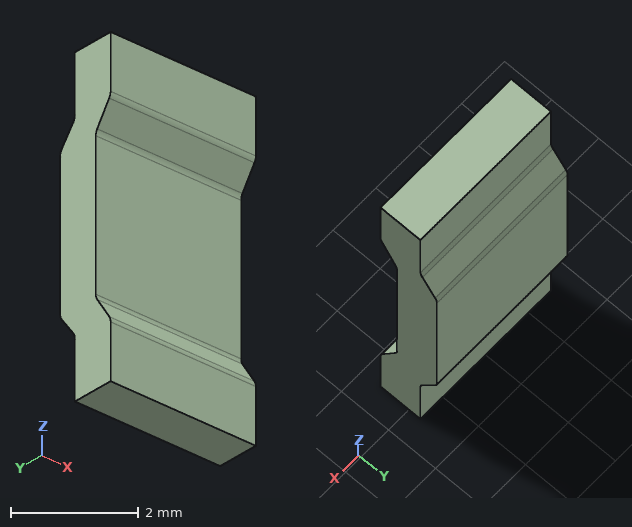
import cadquery as cq

width = 3.05
height = 6.35
thickness = 0.85
joggle = 0.35
bend_radius = 0.2

front_slope_start = 1.14
back_slope_start = 1.205
slope_end = 1.675

pad_front_y = -(thickness + joggle) / 2
pad_back_y = pad_front_y + thickness
middle_front_y = pad_front_y + joggle
middle_back_y = pad_back_y + joggle
end_z = height / 2


def face_line(pad_y, middle_y, slope_start):
    """Bottom-to-top (Y, Z) corners of one stepped face, mirrored about Z = 0."""
    pad_corner_z = end_z - slope_start
    middle_corner_z = end_z - slope_end
    return [
        (pad_y, -end_z),
        (pad_y, -pad_corner_z),
        (middle_y, -middle_corner_z),
        (middle_y, middle_corner_z),
        (pad_y, pad_corner_z),
        (pad_y, end_z),
    ]


def joggled_strip():
    """Constant section along X: end pads joined by slopes to the set-back middle."""
    front = face_line(pad_front_y, middle_front_y, front_slope_start)
    back = face_line(pad_back_y, middle_back_y, back_slope_start)
    outline = front + back[::-1]
    return cq.Workplane("YZ").polyline(outline).close().extrude(width / 2, both=True)


def round_bends(strip):
    """Round the eight bend edges, leaving the square ends of the strip sharp."""
    bend_zone = cq.selectors.BoxSelector(
        (-width, -width, -end_z + front_slope_start / 2),
        (width, width, end_z - front_slope_start / 2),
    )
    return strip.edges("|X").edges(bend_zone).fillet(bend_radius)


result = round_bends(joggled_strip())